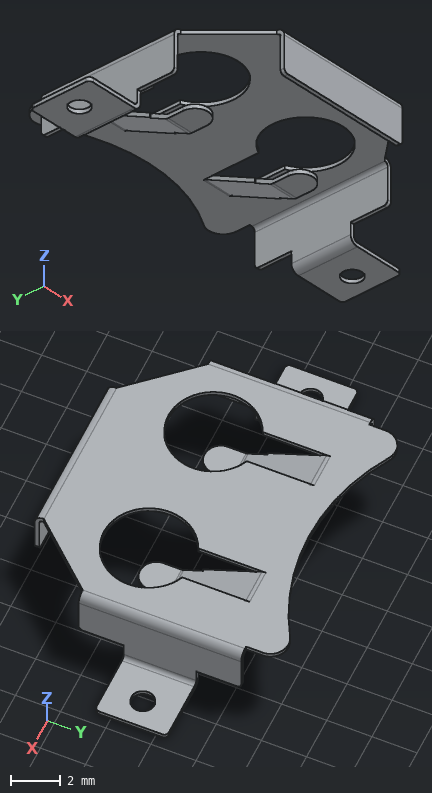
import cadquery as cq
import math

sheet = 0.2
inner_bend = 0.19
outer_bend = inner_bend + sheet
corner_radius = 0.2

length = 19.0
depth = 12.0
height = 3.2

body_width = 13.2
wall_height = 2.2
wall_length = 7.2
side_wall_front = 3.29
side_wall_back = side_wall_front + wall_length

lug_half_width = 6.1
lug_radius = 0.8
scoop_bottom = 10.55

foot_width = 3.21
foot_centre_y = 6.9
foot_hole_x = 8.3
foot_hole_diameter = 1.0

spring_x = 3.2
spring_root_width = 1.6
spring_tip_width = 1.45
spring_root_corner_y = 9.6
spring_tip_corner_y = 6.05
spring_step_y = 6.94
spring_end_y = 4.48
spring_underside = 1.24
window_radius = 2.0
window_centre_y = 4.88

half_body = body_width / 2
flat_half_width = half_body - outer_bend
spring_drop = height - sheet - spring_underside
spring_angle = math.atan2(spring_drop, spring_root_corner_y - spring_tip_corner_y)


def block(x_min, x_max, y_min, y_max, z_min, z_max):
    """Box between the given limits."""
    size = (x_max - x_min, y_max - y_min, z_max - z_min)
    return cq.Workplane("XY").box(*size, centered=False).translate((x_min, y_min, z_min))


def stepped_strip(start, upper_corner, lower_corner, end, drop, width):
    """Sheet strip along +X that steps down by drop; its top starts at the plate's top face.

    The strip is centred on Y = 0. The corners are the bend points of its top skin.
    """
    angle = math.atan2(drop, lower_corner - upper_corner)
    mitre = sheet * math.tan(angle / 2)
    low = height - drop
    skin = [(start, height), (upper_corner, height), (lower_corner, low), (end, low)]
    underside = [
        (end, low - sheet),
        (lower_corner - mitre, low - sheet),
        (upper_corner - mitre, height - sheet),
        (start, height - sheet),
    ]
    strip = cq.Workplane("XZ").polyline(skin + underside).close().extrude(width / 2, both=True)

    def bend_edge(x, z):
        return cq.selectors.NearestToPointSelector((x, 0, z))

    for convex in (skin[1], underside[1]):
        strip = strip.edges("|Y").edges(bend_edge(*convex)).fillet(outer_bend)
    for concave in (skin[2], underside[2]):
        strip = strip.edges("|Y").edges(bend_edge(*concave)).fillet(inner_bend)
    return strip


def top_plate():
    """Flat plate with lugs, rear scoop and clipped front corners."""
    lug_x = lug_half_width - lug_radius
    lug_y = depth - lug_radius
    rise = lug_y - scoop_bottom
    scoop_radius = (lug_x**2 + rise**2 - lug_radius**2) / (2 * (rise + lug_radius))
    share = lug_radius / (lug_radius + scoop_radius)
    contact_x = lug_x * (1 - share)
    contact_y = lug_y + (scoop_bottom + scoop_radius - lug_y) * share

    return (
        cq.Workplane("XY", origin=(0, 0, height - sheet))
        .moveTo(-wall_length / 2, outer_bend)
        .lineTo(wall_length / 2, outer_bend)
        .lineTo(flat_half_width, side_wall_front)
        .lineTo(flat_half_width, side_wall_back)
        .lineTo(lug_half_width, side_wall_back)
        .lineTo(lug_half_width, lug_y)
        .threePointArc((lug_x, depth), (contact_x, contact_y))
        .threePointArc((0, scoop_bottom), (-contact_x, contact_y))
        .threePointArc((-lug_x, depth), (-lug_half_width, lug_y))
        .lineTo(-lug_half_width, side_wall_back)
        .lineTo(-flat_half_width, side_wall_back)
        .lineTo(-flat_half_width, side_wall_front)
        .close()
        .extrude(sheet)
    )


def folded_wall():
    """Wall with its bend, outer face on X = 0 facing +X, centred on Y = 0."""
    bend_end = height - outer_bend
    wall = (
        cq.Workplane("XZ")
        .moveTo(-outer_bend, height)
        .radiusArc((0, bend_end), outer_bend)
        .vLineTo(height - wall_height)
        .hLineTo(-sheet)
        .vLineTo(bend_end)
        .radiusArc((-outer_bend, height - sheet), -inner_bend)
        .close()
        .extrude(wall_length / 2, both=True)
    )
    return wall.edges("|X and <Z").fillet(corner_radius)


def right_foot():
    """Strip from the plate down the right wall and out to a drilled foot."""
    strip = stepped_strip(
        flat_half_width - sheet, half_body, half_body, length / 2, height - sheet, foot_width
    )
    strip = strip.edges("|Z and >X").fillet(corner_radius)
    hole = cq.Workplane("XY").center(foot_hole_x, 0).circle(foot_hole_diameter / 2).extrude(height)
    return strip.cut(hole).translate((0, foot_centre_y, 0))


def window():
    """Keyhole cutter around a spring, centred on X = 0; its slot ends where the spring bends."""
    slot_end = spring_root_corner_y + outer_bend * math.tan(spring_angle / 2)
    half_slot = spring_root_width / 2
    slot = block(-half_slot, half_slot, window_centre_y, slot_end, 0, height)
    return slot.union(
        cq.Workplane("XY").center(0, window_centre_y).circle(window_radius).extrude(height)
    )


def spring():
    """Sloping contact finger with a narrower, round-ended tip, centred on X = 0."""
    root_y = spring_root_corner_y + outer_bend
    strip = stepped_strip(
        -root_y, -spring_root_corner_y, -spring_tip_corner_y, -spring_end_y,
        spring_drop, spring_root_width,
    ).rotate((0, 0, 0), (0, 0, 1), -90)
    half_root = spring_root_width / 2
    half_tip = spring_tip_width / 2
    tip_centre_y = spring_end_y + half_tip
    plan = (
        block(-half_root, half_root, spring_step_y, root_y, 0, height)
        .union(block(-half_tip, half_tip, tip_centre_y, spring_step_y, 0, height))
        .union(cq.Workplane("XY").center(0, tip_centre_y).circle(half_tip).extrude(height))
    )
    return strip.intersect(plan)


side_wall = folded_wall().translate((half_body, side_wall_front + wall_length / 2, 0))
side = side_wall.union(right_foot())
front_wall = folded_wall().rotate((0, 0, 0), (0, 0, 1), -90)
result = top_plate().union(front_wall).union(side).union(side.mirror("YZ"))

for x in (-spring_x, spring_x):
    result = result.cut(window().translate((x, 0, 0)))
    result = result.union(spring().translate((x, 0, 0)))